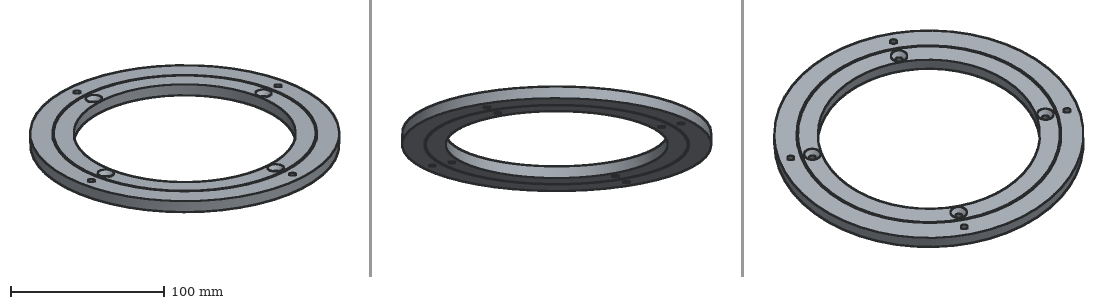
import cadquery as cq

outer_diameter = 202.0
bore_diameter = 145.0
thickness = 8.0

outer_ring_bore = 173.0
inner_ring_diameter = 171.0

hole_count = 4
hole_diameter = 4.5
outer_hole_circle_radius = 93.1
inner_hole_circle_radius = 78.5
countersink_diameter = 10.7
countersink_angle = 90.0


def plain_ring(outside, inside):
    """Flat ring standing on the XY plane, centred on Z."""
    return cq.Workplane("XY").circle(outside / 2).circle(inside / 2).extrude(thickness)


def hole_places(ring, circle_radius):
    """Evenly spaced hole centres on the top face of a ring."""
    return (
        ring.faces(">Z")
        .workplane(origin=(0, 0, thickness))
        .polarArray(circle_radius, 0, 360, hole_count)
    )


def make_outer_ring():
    """Outer ring with plain through holes."""
    ring = plain_ring(outer_diameter, outer_ring_bore)
    return hole_places(ring, outer_hole_circle_radius).hole(hole_diameter)


def make_inner_ring():
    """Inner ring with through holes countersunk from the top."""
    ring = plain_ring(inner_ring_diameter, bore_diameter)
    return hole_places(ring, inner_hole_circle_radius).cskHole(
        hole_diameter, countersink_diameter, countersink_angle
    )


outer_ring = make_outer_ring()
inner_ring = make_inner_ring()

result = cq.Compound.makeCompound([outer_ring.val(), inner_ring.val()])